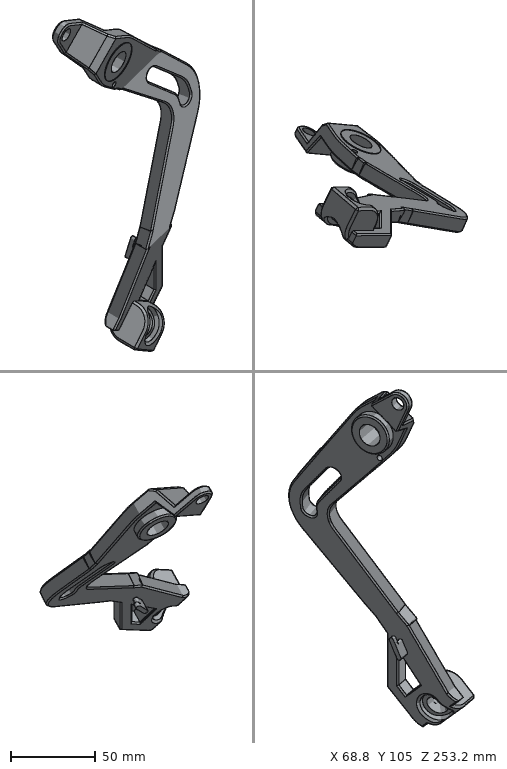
import cadquery as cq
import math


thickness = 10.0
edge_chamfer = 1.0
arm_angle = 13.5
upper_bend_angle = 6.7
lower_bend_angle = 12.0
upper_bend = (-24.4, -29.6)
lower_bend = (-137.2, -144.9)
fold_heights = [*upper_bend, *lower_bend]
segment_angles = [0, upper_bend_angle, arm_angle, lower_bend_angle, 0]
reach = 300.0
tolerance = 1e-6
clip_half_depth = 30.0

flank_radius = 33.5
rear_flank = (-12.2, -10.9)
front_flank = (13.9, 8.7)
hub_bore = 14.2
boss_diameter = 26.0
boss_height = 5.6
boss_chamfer = 1.0
rear_pad_height = 0.5
tip_center = (-24.8, 33.0)
tip_radius = 7.2
pin_diameter = 8.2
small_hole_diameter = 3.5
small_hole_center = (-3.7, -17.3)
tab_offset = 15.1
tab_thickness = 5.6
front_step = (19.0, 25.4)
rear_step = (19.4, 23.7, 29.0)
rear_step_depth = 3.9

elbow_outer = (32.9, -71.9, 32.5)
elbow_inner = (21.5, -75.0, 16.4)
slot_top = (30.1, -39.6)
slot_turn = (35.2, -71.2)
slot_bottom = (51.4, -74.1)
slot_half_width = 4.8
slot_turn_radius = 16.0

foot_hole = (-21.3, -195.7)
foot_front_width = 18.0
foot_rear_width = 16.6
foot_end = 7.9
strut_y = 7.9
rear_shoulder_y = 22.8
arm_front_y = -0.8
foot_front_y = -7.2
strut_top = -154.2
strut_bottom = -190.6
window_y = 0.0
window_top = -164.5
window_bottom = -187.4
window_sill = (9.3, -4.4, -13.2)
block_depth = 25.6
block_half_width = 12.5
block_chamfer = 1.5
counterbore_diameter = 14.2
counterbore_depth = 4.5
counterbore_chamfer = 1.5
pin_swing = 45.0

hook_top = (-1.1, -155.2)
hook_lean = 25.3
hook_length = 10.6
hook_width = 3.0
hook_stand = 7.7
lip_thickness = 3.0
lip_length = 4.3


def segment_starts():
    """Point (X, Z) on the front face where each straight segment of the folded bar starts."""
    starts = [(0.0, 0.0)]
    x, z = 0.0, 0.0
    for angle, fold in zip(segment_angles, fold_heights):
        x += (z - fold) * math.tan(math.radians(angle))
        z = fold
        starts.append((x, z))
    return starts


def flat(z):
    """Position s along the unfolded front face of a point at height z."""
    s, top = 0.0, 0.0
    for angle, fold in zip(segment_angles, fold_heights):
        if z >= fold:
            return s + (z - top) / math.cos(math.radians(angle))
        s += (fold - top) / math.cos(math.radians(angle))
        top = fold
    return s + z - top


starts = segment_starts()
foot_x = starts[-1][0]


def foot_point(across, down):
    """(y, Z) of a point in the foot's own axes, turned 45 degrees about the foot hole."""
    root = math.sqrt(2)
    return foot_hole[0] + (across - down) / root, foot_hole[1] - (across + down) / root


def belt(nodes):
    """Closed wire of tangent lines around circles (y, s, radius), listed counterclockwise.

    A negative radius makes a concave stretch and a zero radius a sharp corner.
    """
    lines = []
    for (y0, s0, r0), (y1, s1, r1) in zip(nodes, nodes[1:] + nodes[:1]):
        heading = math.atan2(s1 - s0, y1 - y0)
        heading += math.asin((r0 - r1) / math.hypot(y1 - y0, s1 - s0))
        ny, ns = math.sin(heading), -math.cos(heading)
        lines.append(((y0 + r0 * ny, s0 + r0 * ns), (y1 + r1 * ny, s1 + r1 * ns), heading))
    path = cq.Workplane("YZ").moveTo(*lines[0][0])
    for k, (_, end, heading) in enumerate(lines):
        path = path.lineTo(*end)
        following = (k + 1) % len(nodes)
        y, s, r = nodes[following]
        next_start, _, next_heading = lines[following]
        if r:
            turn = math.copysign((next_heading - heading) * math.copysign(1, r) % math.tau, r)
            middle = heading + turn / 2
            path = path.threePointArc((y + r * math.sin(middle), s - r * math.cos(middle)), next_start)
    return path.close()


def in_flat(circle):
    """The same point or circle (y, Z, ...) with its height changed to flat s."""
    return (circle[0], flat(circle[1]), *circle[2:])


def bar_outline():
    """Outline of the unfolded bar, up its +Y edge to the tip and back down its -Y edge."""
    rear_corners = [
        foot_point(foot_rear_width, foot_end),
        (strut_y, strut_bottom),
        (strut_y, strut_top),
        (rear_shoulder_y, lower_bend[0]),
    ]
    front_corners = [
        (arm_front_y, lower_bend[0]),
        (foot_front_y, lower_bend[1]),
        foot_point(-foot_front_width, 0),
        foot_point(-foot_front_width, foot_end),
    ]
    inner_y, inner_s, inner_radius = in_flat(elbow_inner)
    nodes = [(*in_flat(corner), 0) for corner in rear_corners]
    nodes += [in_flat(elbow_outer), (*rear_flank, flank_radius)]
    nodes += [(*tip_center, tip_radius), (*front_flank, flank_radius)]
    nodes += [(inner_y, inner_s, -inner_radius)]
    nodes += [(*in_flat(corner), 0) for corner in front_corners]
    return belt(nodes)


def slot_outline():
    """Round-ended slot that turns about one centre near its lower end."""
    turn = in_flat(slot_turn)
    return belt([
        (*in_flat(slot_top), slot_half_width),
        (*turn, slot_half_width - slot_turn_radius),
        (*in_flat(slot_bottom), slot_half_width),
        (*turn, slot_half_width + slot_turn_radius),
    ])


foot_plane = cq.Plane(
    origin=(foot_x + block_depth / 2, *foot_hole), xDir=(1, 0, 0), normal=(0, 1, -1)
)


def bend_trim():
    """Material outside the round at the lower end of the bar."""
    half = block_depth / 2
    diagonal = half * math.sqrt(0.5)
    return (
        cq.Workplane(foot_plane)
        .moveTo(-half, 0)
        .threePointArc((-diagonal, diagonal), (0, half))
        .lineTo(0, block_depth)
        .lineTo(-block_depth, block_depth)
        .lineTo(-block_depth, 0)
        .close()
        .extrude(foot_front_width * 2, both=True)
    )


def flat_bar():
    """The unfolded bar with its stepped tab, slot, window and chamfered edges."""
    bar = bar_outline().extrude(thickness + tab_offset).translate((-tab_offset, 0, 0))
    bar = bar.intersect(tab_profile())
    unfold = (-foot_x, 0, flat(lower_bend[1]) - lower_bend[1])
    bar = bar.cut(bend_trim().translate(unfold))
    bar = bar.cut(slot_outline().extrude(thickness))
    sill_rear, sill_front, sill_height = window_sill
    window_corners = [
        (window_y, window_top), (window_y, window_bottom),
        foot_point(sill_rear, sill_height), foot_point(sill_front, sill_height),
    ]
    window = cq.Workplane("YZ").polyline([in_flat(corner) for corner in window_corners]).close()
    bar = bar.cut(window.extrude(thickness))
    rims = []
    for wall in bar.faces().vals():
        is_upright = abs(wall.normalAt().x) < tolerance
        if is_upright:
            rims += [edge for edge in wall.Edges() if abs(edge.tangentAt(0.5).x) < 1 - tolerance]
    return bar.newObject(rims).chamfer(edge_chamfer)


def tab_profile():
    """Side profile of the bar, swept across the line from the hub to the tip."""
    tip_distance = math.hypot(*tip_center)
    along = cq.Vector(0, tip_center[0] / tip_distance, tip_center[1] / tip_distance)
    plane = cq.Plane(origin=(0, 0, 0), xDir=(1, 0, 0), normal=cq.Vector(1, 0, 0).cross(along))
    points = [
        (0, -reach), (0, front_step[0]), (-tab_offset, front_step[1]), (-tab_offset, reach),
        (tab_thickness - tab_offset, reach), (tab_thickness - tab_offset, rear_step[2]),
        (thickness - rear_step_depth, rear_step[1]), (thickness, rear_step[0]), (thickness, -reach),
    ]
    return cq.Workplane(plane).polyline(points).close().extrude(reach, both=True)


def folded_bar():
    """Clip the flat bar at the mitre plane of every fold and turn each piece into place."""
    bar = flat_bar()
    angles = [math.radians(angle) for angle in segment_angles]
    folded = None
    for k, (x, z) in enumerate(starts):
        top, bottom = reach, -reach
        top_slope, bottom_slope = 0, 0
        if k > 0:
            top = flat(z)
            top_slope = -math.tan((angles[k] - angles[k - 1]) / 2)
        if k < len(fold_heights):
            bottom = flat(fold_heights[k])
            bottom_slope = math.tan((angles[k + 1] - angles[k]) / 2)
        corners = [
            (side, height + slope * side)
            for side, height, slope in (
                (-clip_half_depth, top, top_slope), (clip_half_depth, top, top_slope),
                (clip_half_depth, bottom, bottom_slope), (-clip_half_depth, bottom, bottom_slope),
            )
        ]
        clip = cq.Workplane("XZ").polyline(corners).close().extrude(reach, both=True)
        piece = bar.intersect(clip).translate((0, 0, -flat(z)))
        piece = piece.rotate((0, 0, 0), (0, 1, 0), -segment_angles[k]).translate((x, 0, z))
        folded = piece if folded is None else folded.union(piece)
    return folded


def disc(center, diameter, start, end):
    """Cylinder along X from start to end."""
    return cq.Workplane("YZ", origin=(start, 0, 0)).center(*center).circle(diameter / 2).extrude(end - start)


def add_hub(body):
    """Boss with its bore, and the two holes beside it."""
    boss = disc((0, 0), boss_diameter, -boss_height, thickness + rear_pad_height)
    body = body.union(boss.faces("<X").chamfer(boss_chamfer))
    holes = (
        ((0, 0), hub_bore),
        (tip_center, pin_diameter),
        (small_hole_center, small_hole_diameter),
    )
    for center, diameter in holes:
        body = body.cut(disc(center, diameter, -reach, reach))
    return body


def foot_block():
    """Square block with two opposite corners fully rounded, chamfered on its sides and rear face."""
    half = block_depth / 2
    diagonal = half * math.sqrt(0.5)
    block = (
        cq.Workplane(foot_plane)
        .moveTo(-half, -half)
        .lineTo(0, -half)
        .threePointArc((diagonal, -diagonal), (half, 0))
        .lineTo(half, half)
        .lineTo(0, half)
        .threePointArc((-diagonal, diagonal), (-half, 0))
        .close()
        .extrude(block_half_width, both=True)
    )
    return block.faces("|(0, 1, -1) or >X").chamfer(block_chamfer)


def swung_hole():
    """Stepped pin hole from the block's middle to its front, swung from along X down the round."""
    half = block_depth / 2
    pin = pin_diameter / 2
    bore = counterbore_diameter / 2
    floor = half - counterbore_depth
    flare = half + counterbore_chamfer
    steps = [
        (floor, pin), (floor, bore), (half - counterbore_chamfer, bore),
        (flare, bore + 2 * counterbore_chamfer),
    ]
    mirrored = [(along, -radius) for along, radius in reversed(steps)]
    swing_plane = cq.Plane(origin=foot_plane.origin, xDir=(-1, 0, 0), normal=(0, 1, 1))
    start = pin / 2
    section = [(start, pin), *steps, *mirrored, (start, -pin)]
    sweep = cq.Workplane(swing_plane).polyline(section).close().revolve(pin_swing, (0, 0), (0, 1))
    half_section = [(-start, 0), (-start, pin), *steps, (flare, 0)]
    straight = cq.Workplane(swing_plane).polyline(half_section).close().revolve(360, (0, 0), (1, 0))
    swung = straight.rotate(foot_plane.origin, foot_plane.origin + foot_plane.zDir, -pin_swing)
    return [straight, swung, sweep]


def add_foot(body):
    """Block behind the foot, with the swung hole entering it alike from front and rear."""
    body = body.union(foot_block())
    for hole in swung_hole():
        opposite = hole.rotate(foot_plane.origin, foot_plane.origin + foot_plane.zDir, 180)
        body = body.cut(hole).cut(opposite)
    return body


def add_hook(body):
    """Round-ended hook on the front face of the foot, its lip pointing back up along the foot."""
    lean = math.radians(hook_lean)
    down = cq.Vector(0, -math.sin(lean), -math.cos(lean))
    for length, overhang, end_x in (
        (hook_length, 0, edge_chamfer),
        (hook_length + lip_length, lip_length, lip_thickness - hook_stand),
    ):
        middle = cq.Vector(foot_x, *hook_top) + down * (length / 2 - overhang)
        plane = cq.Plane(origin=middle, xDir=down, normal=(1, 0, 0))
        tongue = cq.Workplane(plane).slot2D(length, hook_width).extrude(end_x + hook_stand)
        body = body.union(tongue.translate((-hook_stand, 0, 0)))
    return body


result = add_hook(add_foot(add_hub(folded_bar())))